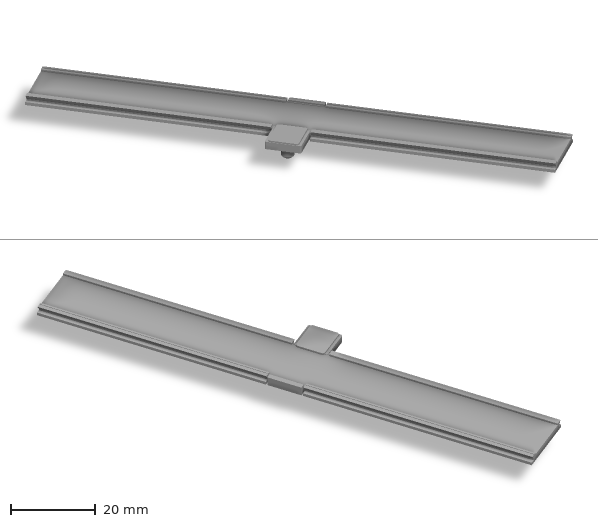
import cadquery as cq

strip_length = 130.0
strip_width = 16.0
strip_height = 2.3
floor_height = 1.8
front_rail_width = 1.8
back_rail_width = 2.0

groove_depth = 1.0
groove_wall_bottom = 0.8
groove_wall_top = 1.2
upper_lip_setback = 0.3

channel_offset = 0.9
channel_width = 0.5
channel_depth = 0.1

arm_gap = 9.8
block_width = 9.0
block_step_height = 2.0
block_step_width = 1.7
block_rail_width = 1.3
tab_reach = 6.5
tab_corner_radius = 0.4

pad_width = 7.5
pad_overlap = 0.4
pad_front_setback = 0.1
pad_corner_radius = 0.6

pin_diameter = 3.1
pin_spacing = 10.1
long_pin_length = 4.5
short_pin_length = 3.5
short_pin_chamfer = 0.4

back_y = strip_width / 2
front_y = -strip_width / 2
tab_front_y = front_y - tab_reach


def box(x_size, y_min, y_max, z_min, z_max):
    """Box centred on X = 0 between the given Y and Z limits."""
    return (
        cq.Workplane("XY", origin=(0, (y_min + y_max) / 2, z_min))
        .box(x_size, y_max - y_min, z_max - z_min, centered=(True, True, False))
    )


def make_arms():
    """Railed and grooved profile over the full length, cut back to its floor at the centre."""
    profile = [
        (front_y, 0),
        (back_y, 0),
        (back_y, groove_wall_bottom),
        (back_y - groove_depth, groove_wall_bottom),
        (back_y - groove_depth, groove_wall_top),
        (back_y - upper_lip_setback, strip_height),
        (back_y - back_rail_width, strip_height),
        (back_y - back_rail_width, floor_height),
        (front_y + front_rail_width, floor_height),
        (front_y + front_rail_width, strip_height),
        (front_y + upper_lip_setback, strip_height),
        (front_y + groove_depth, groove_wall_top),
        (front_y + groove_depth, groove_wall_bottom),
        (front_y, groove_wall_bottom),
    ]
    strip = (
        cq.Workplane("YZ", origin=(-strip_length / 2, 0, 0))
        .polyline(profile)
        .close()
        .extrude(strip_length)
    )
    channel_back_y = back_y - channel_offset
    channel = box(
        strip_length, channel_back_y - channel_width, channel_back_y, strip_height - channel_depth, strip_height
    )
    gap = box(arm_gap, front_y, back_y, 0, strip_height)
    kept_floor = box(arm_gap, front_y + groove_depth, back_y - groove_depth, 0, floor_height)
    return strip.cut(channel).cut(gap.cut(kept_floor))


def make_centre_block():
    """Plain block with the tab at the front, a low step on each side and a full-height back rail."""
    block = box(block_width, tab_front_y, back_y, 0, block_step_height)
    block = block.edges("|Z and <Y").fillet(tab_corner_radius)
    recess = box(
        block_width, front_y + block_step_width, back_y - block_step_width, floor_height, block_step_height
    )
    rail = box(block_width, back_y - block_rail_width, back_y, 0, strip_height)
    return block.cut(recess).union(rail)


def make_pad():
    """Rounded pad standing on the tab, level with the rails."""
    pad_back_y = front_y + front_rail_width + pad_overlap
    pad = box(pad_width, tab_front_y + pad_front_setback, pad_back_y, 0, strip_height)
    return pad.edges("|Z").fillet(pad_corner_radius)


def make_pin(y, length):
    """Round pin hanging down from the underside."""
    return cq.Workplane("XY", origin=(0, y, 0)).circle(pin_diameter / 2).extrude(-length)


long_pin = make_pin(0, long_pin_length)
short_pin = make_pin(-pin_spacing, short_pin_length).faces("<Z").chamfer(short_pin_chamfer)

result = (
    make_arms()
    .union(make_centre_block())
    .union(make_pad())
    .union(long_pin)
    .union(short_pin)
)